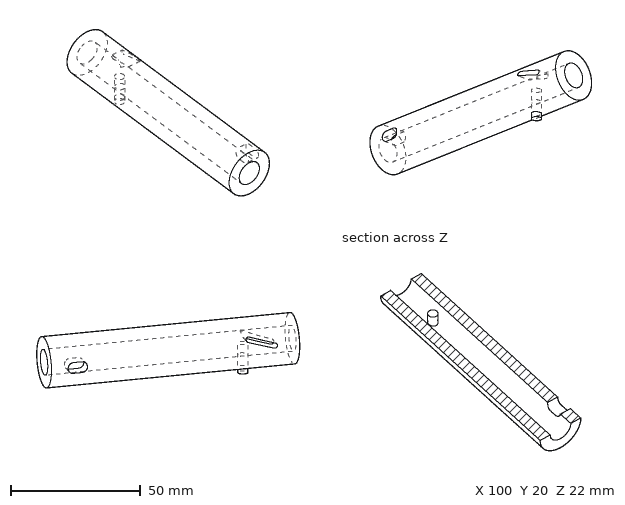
import cadquery as cq
import math

length = 100.0
outer_radius = 10.0
bore_radius = 5.0

pin_diameter = 4.0
pin_x = 20.0
pin_projection = 2.0
pin_length = outer_radius + pin_projection

slot_width = 2.0
slot_low_x = 10.0
slot_low_z = 1.2
slot_high_x = 20.3
slot_high_z = 4.3

opening_width = 4.4
opening_length = 7.8
opening_x = 89.4


def make_pin():
    """Upright round pin with its top on the tube axis."""
    return cq.Workplane("XY").center(pin_x, 0).circle(pin_diameter / 2).extrude(-pin_length)


def inclined_slot_cutter():
    """Slanted slot, running from the tube's mid-plane out through the +Y side."""
    run = slot_high_x - slot_low_x
    rise = slot_high_z - slot_low_z
    slot_length = math.hypot(run, rise) + slot_width
    slot_angle = math.degrees(math.atan2(rise, run))
    return (
        cq.Workplane("XZ")
        .center((slot_low_x + slot_high_x) / 2, (slot_low_z + slot_high_z) / 2)
        .slot2D(slot_length, slot_width, slot_angle)
        .extrude(-outer_radius)
    )


def opening_cutter():
    """Lengthwise opening, running from the tube's mid-plane out through the +Y side."""
    return cq.Workplane("XZ").center(opening_x, 0).slot2D(opening_length, opening_width).extrude(-outer_radius)


def make_tube():
    """Tube with a fitted pin hole, the inclined slot and the lengthwise opening."""
    body = cq.Workplane("YZ").circle(outer_radius).circle(bore_radius).extrude(length)
    for cutter in (make_pin(), inclined_slot_cutter(), opening_cutter()):
        body = body.cut(cutter)
    return body


tube = make_tube()
pin = make_pin()

result = cq.Compound.makeCompound([tube.val(), pin.val()])